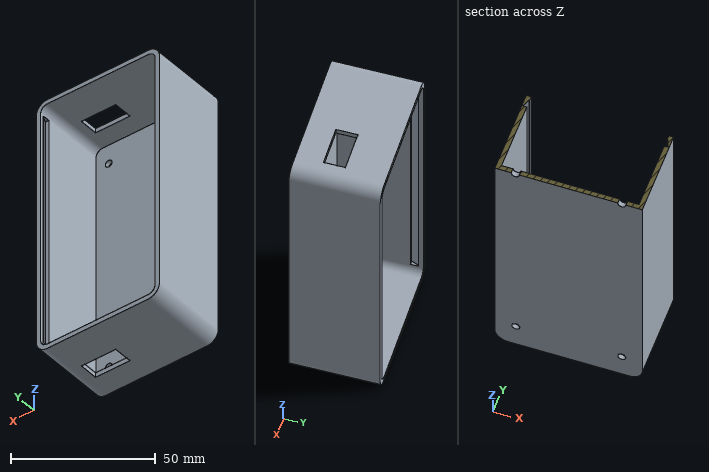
import cadquery as cq

width = 54.0
depth = 33.0
height = 110.0
corner_radius = 5.0
wall = 2.0
front_y = -depth / 2
rear_y = depth / 2

port_width = 15.0
port_depth = 7.9
port_x = 11.3
port_y = -2.4

hole_diameter = 2.9
hole_x = 19.5
hole_z = 44.9
lower_left_shift = 0.2

groove_start_y = 11.9
groove_end_y = 14.7
groove_front_depth = 1.4
groove_rear_depth = 0.3
groove_length = height - 2 * corner_radius


def rounded_block(block_width, block_height, radius, start_y, end_y):
    """Block along Y with rounded corners in the XZ plane."""
    block = cq.Workplane("XY").box(block_width, end_y - start_y, block_height)
    return block.edges("|Y").fillet(radius).translate((0, (start_y + end_y) / 2, 0))


def make_shell():
    outside = rounded_block(width, height, corner_radius, front_y, rear_y)
    cavity = rounded_block(
        width - 2 * wall,
        height - 2 * wall,
        corner_radius - wall,
        front_y + wall,
        rear_y,
    )
    return outside.cut(cavity)


def make_port():
    return cq.Workplane("XY").box(port_width, port_depth, height).translate((port_x, port_y, 0))


def make_screw_holes():
    centers = [
        (-hole_x, hole_z),
        (hole_x, hole_z),
        (hole_x, -hole_z),
        (-hole_x + lower_left_shift, -hole_z + lower_left_shift),
    ]
    holes = cq.Workplane("XZ", origin=(0, front_y + wall, 0)).pushPoints(centers)
    return holes.circle(hole_diameter / 2).extrude(wall)


def make_snap_groove(side):
    """Groove in the left (side = -1) or right (side = 1) wall."""
    inner_x = width / 2 - wall
    profile = [
        (side * inner_x, groove_start_y),
        (side * (inner_x + groove_front_depth), groove_start_y),
        (side * (inner_x + groove_rear_depth), groove_end_y),
        (side * inner_x, groove_end_y),
    ]
    return cq.Workplane("XY").polyline(profile).close().extrude(groove_length / 2, both=True)


result = make_shell().cut(make_port()).cut(make_screw_holes())
for side in (-1, 1):
    result = result.cut(make_snap_groove(side))